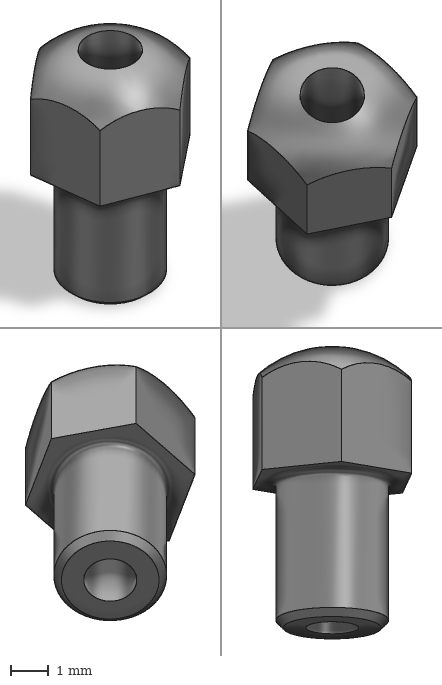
import cadquery as cq
import math

height = 7.48
across_flats = 4.0
across_corners = across_flats / math.cos(math.pi / 6)

shank_diameter = 3.0
shank_radius = shank_diameter / 2
shank_length = 4.0
tip_chamfer = 0.2
neck_fillet = 0.2
head_overlap = 0.075

crown_radius = 3.0

bore_radius = 0.7
counterbore_radius = 0.85
counterbore_depth = 2.99


def make_head():
    """Hexagonal prism, corners on the Y axis, rounded by the crown sphere."""
    hexagon = (
        cq.Workplane("XY")
        .workplane(offset=shank_length)
        .transformed(rotate=(0, 0, 90))
        .polygon(6, across_corners)
        .extrude(height - shank_length)
    )
    crown_center = height - math.sqrt(crown_radius**2 - counterbore_radius**2)
    crown = cq.Workplane("XY").sphere(crown_radius).translate((0, 0, crown_center))
    return hexagon.intersect(crown)


def make_shank():
    """Revolved shank, flaring out into the underside of the head."""
    fillet_mid = neck_fillet * (1 - math.sqrt(0.5))
    return (
        cq.Workplane("XZ")
        .lineTo(shank_radius - tip_chamfer, 0)
        .lineTo(shank_radius, tip_chamfer)
        .lineTo(shank_radius, shank_length - neck_fillet)
        .threePointArc(
            (shank_radius + fillet_mid, shank_length - fillet_mid),
            (shank_radius + neck_fillet, shank_length),
        )
        .lineTo(shank_radius, shank_length + head_overlap)
        .lineTo(0, shank_length + head_overlap)
        .close()
        .revolve(360, (0, 0, 0), (0, 1, 0))
    )


def make_bore():
    """Through hole with a wider, deep counterbore from the crown."""
    through = cq.Workplane("XY").circle(bore_radius).extrude(height)
    counterbore = (
        cq.Workplane("XY")
        .workplane(offset=height - counterbore_depth)
        .circle(counterbore_radius)
        .extrude(counterbore_depth)
    )
    return through.union(counterbore)


result = make_head().union(make_shank()).cut(make_bore())